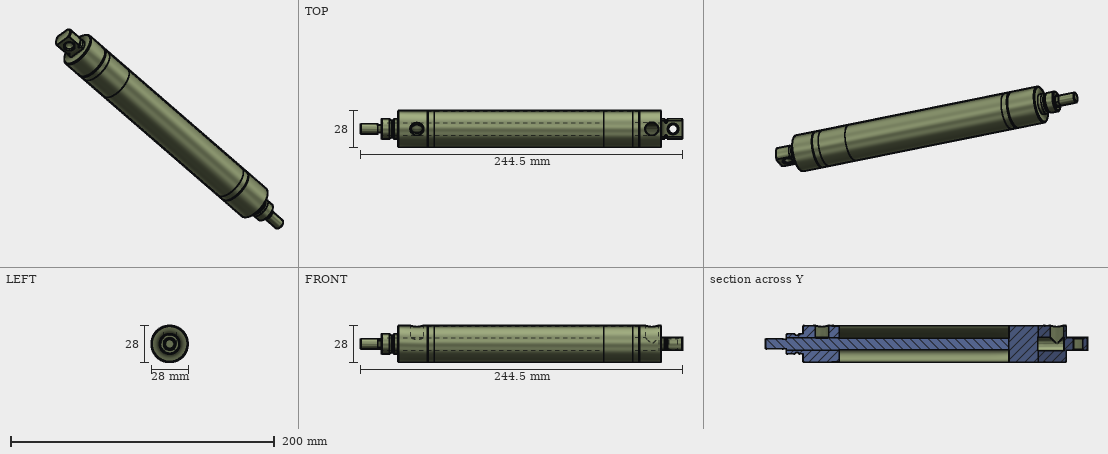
import cadquery as cq


total_length = 244.5
nose_start = 15.6
front_head_start = 28.4
tube_start = 50.5
tube_end = 212.0
rear_head_end = 228.3

barrel_diameter = 28.0
barrel_radius = barrel_diameter / 2
tube_wall = 0.5
bore_radius = barrel_radius - tube_wall
edge_chamfer = 0.7
tube_bevel_length = 0.7
tube_bevel_depth = 0.37
spigot_length = 5.5

mount_radius = 7.8
mount_chamfer = 0.7
groove_depth = 1.2
nose_groove_start = 22.0
nose_groove_floor = 1.2
tang_groove_start = 230.3
tang_groove_floor = 0.5
tang_thickness = 9.8
pin_hole_x = 237.1
pin_hole_diameter = 6.5
pin_hole_chamfer = 1.0

port_radius = 5.0
port_countersink = 0.37
front_port_x = 42.8
rear_port_x = 221.0
front_port_point = 0.2
passage_radius = 5.0
rear_passage_end = 226.5
rear_port_point = -passage_radius

rod_radius = 4.6
thread_diameter = 8.0
thread_length = 13.0
thread_chamfer = 0.6
neck_diameter = 7.8
flats_width = 6.0

piston_start = 184.5
piston_end = tube_end - spigot_length


def cylinder(x_start, x_end, radius):
    """Solid cylinder on the X axis between two stations."""
    return cq.Workplane("YZ").workplane(offset=x_start).circle(radius).extrude(x_end - x_start)


def revolved_on_axis(section):
    """Body of revolution about the X axis from (station, radius) points."""
    return cq.Workplane("XY").polyline(section).close().revolve(360, (0, 0, 0), (1, 0, 0))


def ring_groove(x_start, floor_width):
    """Ring that cuts a groove with 45 degree sides into a mount of mount_radius."""
    x_end = x_start + 2 * groove_depth + floor_width
    floor_radius = mount_radius - groove_depth
    section = [
        (x_start, mount_radius),
        (x_start + groove_depth, floor_radius),
        (x_end - groove_depth, floor_radius),
        (x_end, mount_radius),
    ]
    return revolved_on_axis(section)


def port(x, point_height):
    """Vertical countersunk port at station x whose 90 degree point ends at point_height."""
    section = [
        (0, point_height),
        (port_radius, point_height + port_radius),
        (port_radius, barrel_radius - port_countersink),
        (port_radius + port_countersink, barrel_radius),
        (0, barrel_radius),
    ]
    cutter = cq.Workplane("XZ").polyline(section).close().revolve(360, (0, 0, 0), (0, 1, 0))
    return cutter.translate((x, 0, 0))


def make_front_head():
    """Head with grooved nose, spigot into the tube, rod hole and port."""
    nose = cylinder(nose_start, front_head_start, mount_radius).faces("<X").chamfer(mount_chamfer)
    nose = nose.cut(ring_groove(nose_groove_start, nose_groove_floor))
    block = cylinder(front_head_start, tube_start, barrel_radius).faces("<X").chamfer(edge_chamfer)
    spigot = cylinder(tube_start, tube_start + spigot_length, bore_radius)
    rod_hole = cylinder(nose_start, tube_start + spigot_length, rod_radius)
    return nose.union(block).union(spigot).cut(rod_hole).cut(port(front_port_x, front_port_point))


def make_tube():
    """Thin tube whose two outer end edges have a shallow bevel."""
    bevel_radius = barrel_radius - tube_bevel_depth
    section = [
        (tube_start, bore_radius),
        (tube_start, bevel_radius),
        (tube_start + tube_bevel_length, barrel_radius),
        (tube_end - tube_bevel_length, barrel_radius),
        (tube_end, bevel_radius),
        (tube_end, bore_radius),
    ]
    return revolved_on_axis(section)


def make_rear_head():
    """Head with spigot, air passage open to the tube, port and clevis tang."""
    spigot = cylinder(tube_end - spigot_length, tube_end, bore_radius)
    block = cylinder(tube_end, rear_head_end, barrel_radius).faces(">X").chamfer(edge_chamfer)
    passage = cylinder(tube_end - spigot_length, rear_passage_end, passage_radius)
    return spigot.union(block).cut(passage).cut(port(rear_port_x, rear_port_point)).union(make_tang())


def make_tang():
    """Round bar flattened top and bottom, with a vertical pin hole."""
    length = total_length - rear_head_end
    bar = cylinder(rear_head_end, total_length, mount_radius).faces(">X").chamfer(mount_chamfer)
    bar = bar.cut(ring_groove(tang_groove_start, tang_groove_floor))
    slab = cq.Workplane("XY").box(length, 2 * mount_radius, tang_thickness)
    slab = slab.translate((rear_head_end + length / 2, 0, 0))
    hole = cq.Workplane("XY").center(pin_hole_x, 0).circle(pin_hole_diameter / 2)
    tang = bar.intersect(slab).cut(hole.extrude(tang_thickness, both=True))
    rim = cq.selectors.RadiusNthSelector(0)
    return tang.faces("<Z or >Z").edges("%CIRCLE").edges(rim).chamfer(pin_hole_chamfer)


def make_rod():
    """Rod with a chamfered thread stud and a neck with two wrench flats."""
    thread = cylinder(0, thread_length, thread_diameter / 2).faces("<X").chamfer(thread_chamfer)
    neck_length = nose_start - thread_length
    neck = cylinder(thread_length, nose_start, neck_diameter / 2).intersect(
        cq.Workplane("XY")
        .box(neck_length, flats_width, neck_diameter)
        .translate((thread_length + neck_length / 2, 0, 0))
    )
    return thread.union(neck).union(cylinder(nose_start, piston_start, rod_radius))


def make_piston():
    """Plain disc on the rod end, resting against the rear spigot."""
    return cylinder(piston_start, piston_end, bore_radius)


front_head = make_front_head()
tube = make_tube()
rear_head = make_rear_head()
rod = make_rod()
piston = make_piston()

result = cq.Compound.makeCompound(
    [front_head.val(), tube.val(), rear_head.val(), rod.val(), piston.val()]
)